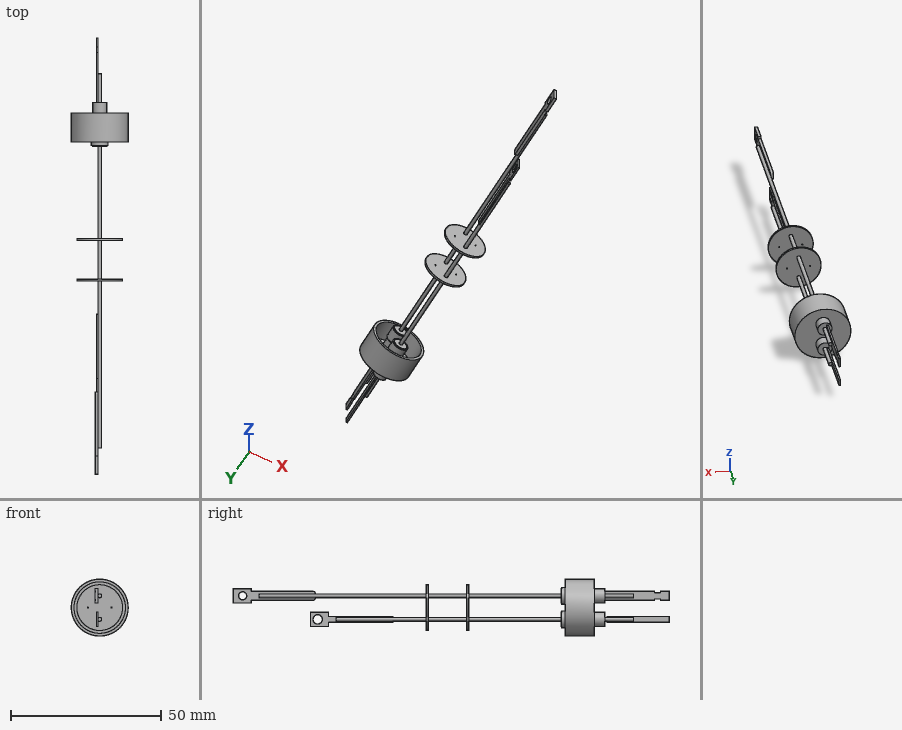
import cadquery as cq


cup_diameter = 19.0
cup_bore = 17.1
cup_depth = 9.7
floor_thickness = 2.2

post_offset = 3.9
post_diameter = 4.8
post_back = 13.2

sleeve_diameter = 5.7
sleeve_front = -1.2
sleeve_back = 3.0
post_lead = 0.3

rod_diameter = 1.3
rod_back = 22.8
upper_rod_front = -101.8
lower_rod_front = -76.2

disc_diameter = 15.2
disc_thickness = 0.7
disc_centers = (-32.4, -45.9)
disc_hole_diameter = 0.3

wide_blade_height = 3.0
narrow_blade_height = 2.0
thin_blade = 0.5
thick_blade = 0.9
blade_back = 34.7
lower_back_blade_front = 14.0

notch_back = 31.6
notch_length = 1.9
notch_depth = 0.5

overall_length = 145.2
upper_blade_start = -83.0
upper_blade_tip = blade_back - overall_length
upper_lug_hole = 2.6
upper_hole_to_tip = 3.2
upper_blade_corner = 0.9
lower_blade_start = -57.2
lower_blade_tip = -84.8
lower_lug_hole = 3.0
lower_hole_to_tip = 2.5
lug_height = 4.8
lug_length = 6.1

blade_face = -rod_diameter / 2
blade_overlap = 0.1

through_cut = 5.8


def cylinder(diameter, y_front, y_back, x=0, z=0):
    """Cylinder along Y between two Y positions."""
    plane = cq.Workplane("XZ", origin=(x, y_front, z))
    return plane.circle(diameter / 2).extrude(y_front - y_back)


def blade(thickness, height, y_front, y_back, z):
    """Flat bar whose +X face is bedded into the side of a rod."""
    depth = thickness + blade_overlap
    bar = cq.Workplane("XY").box(depth, y_back - y_front, height, centered=(False, False, True))
    return bar.translate((blade_face - thickness, y_front, z))


def lug_blade(thickness, height, y_tip, y_start, z, hole_diameter, hole_to_tip):
    """Front blade with a wider drilled lug at its tip."""
    body = blade(thickness, height, y_tip, y_start, z)
    lug = blade(thickness, lug_height, y_tip, y_tip + lug_length, z)
    hole = cq.Workplane("YZ").center(y_tip + hole_to_tip, z).circle(hole_diameter / 2)
    return body.union(lug).cut(hole.extrude(through_cut, both=True))


def cup():
    shell = cylinder(cup_diameter, 0, cup_depth)
    return shell.cut(cylinder(cup_bore, 0, cup_depth - floor_thickness))


def post(z):
    sleeve = cylinder(sleeve_diameter, sleeve_front, sleeve_back, z=z)
    post_front = sleeve_front - post_lead
    return sleeve.union(cylinder(post_diameter, post_front, post_back, z=z))


def spacer_disc(y_center):
    front = y_center - disc_thickness / 2
    back = y_center + disc_thickness / 2
    disc = cylinder(disc_diameter, front, back)
    for x in (-post_offset, post_offset):
        disc = disc.cut(cylinder(disc_hole_diameter, front, back, x=x))
    return disc


def notched_back_blade(z):
    bar = blade(thin_blade, wide_blade_height, post_back, blade_back, z)
    notch_center = notch_back - notch_length / 2
    for side in (-1, 1):
        edge = z + side * wide_blade_height / 2
        notch = cq.Workplane("XY").box(through_cut, notch_length, 2 * notch_depth)
        bar = bar.cut(notch.translate((0, notch_center, edge)))
    return bar


def upper_lead(z):
    rod = cylinder(rod_diameter, upper_rod_front, rod_back, z=z)
    front = lug_blade(
        thick_blade, wide_blade_height, upper_blade_tip, upper_blade_start, z,
        upper_lug_hole, upper_hole_to_tip,
    )
    front = front.faces(">Y").edges("|X").fillet(upper_blade_corner)
    return rod.union(front).union(notched_back_blade(z))


def lower_lead(z):
    rod = cylinder(rod_diameter, lower_rod_front, rod_back, z=z)
    front = lug_blade(
        thin_blade, narrow_blade_height, lower_blade_tip, lower_blade_start, z,
        lower_lug_hole, lower_hole_to_tip,
    )
    back = blade(thin_blade, narrow_blade_height, lower_back_blade_front, blade_back, z)
    return rod.union(front).union(back)


result = cup()
for post_z in (-post_offset, post_offset):
    result = result.union(post(post_z))
result = result.union(upper_lead(post_offset))
result = result.union(lower_lead(-post_offset))
for disc_y in disc_centers:
    result = result.union(spacer_disc(disc_y))